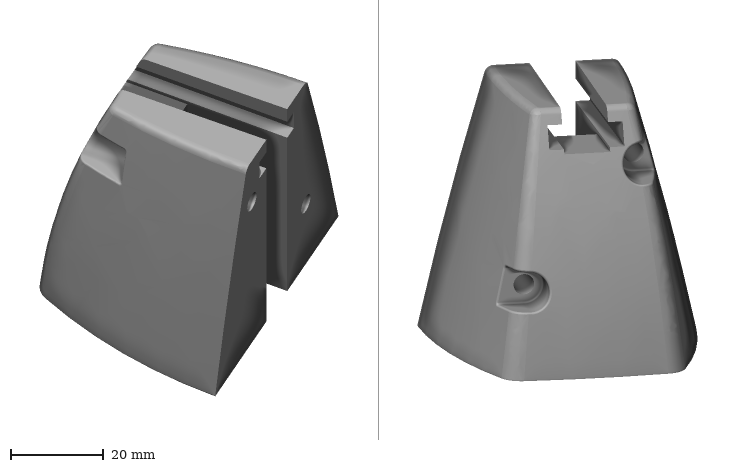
import cadquery as cq
import math

height = 57.4
base_depth = 49.4
base_half_width = 29.65
base_lip = 0.25

front_arc_radius = 166.1
front_arc_centre_z = -11.85
side_arc_radius = 784.8
side_arc_centre_z = -172.0

side_plan_radius_base = 114.5
side_plan_radius_top = 164.9
front_plan_radius = 201.7
corner_radius_base = 5.15
corner_radius_top = 2.15
loft_steps = 4

top_drop = 1.2
top_drop_length = 58.0
top_fillet = 2.0

slot_width = 10.1
slot_floor_z = 47.45
wing_width = 16.5
wing_bottom_z = 48.4
wing_top_z = 53.45
opening_depth = 24.1

pocket_radius = 4.2
pocket_round = 0.5
screw_hole_diameter = 4.5
pockets = [(-12.0, 44.5, -29.25), (14.0, 19.0, -39.15)]

clearance = 5.95


def lean(z, radius, centre_z):
    """Inward travel of an upright arc between the top of the lip and height z."""
    reach_at_lip = math.sqrt(radius**2 - (base_lip - centre_z) ** 2)
    return reach_at_lip - math.sqrt(radius**2 - (z - centre_z) ** 2)


def blend(base_value, top_value, z):
    """Value at height z, changing evenly from the base to the full height."""
    return base_value + (top_value - base_value) * z / height


def outline(z):
    """Horizontal section at height z: two side arcs, a front arc and a straight back."""
    depth = base_depth - lean(z, front_arc_radius, front_arc_centre_z)
    half_width = base_half_width - lean(z, side_arc_radius, side_arc_centre_z)
    side_radius = blend(side_plan_radius_base, side_plan_radius_top, z)
    side_offset = side_radius - half_width
    return (
        cq.Sketch()
        .push([(-base_depth, 0)])
        .rect(2 * base_depth, 4 * base_half_width)
        .reset()
        .push([(0, -side_offset)])
        .circle(side_radius, mode="i")
        .reset()
        .push([(0, side_offset)])
        .circle(side_radius, mode="i")
        .reset()
        .push([(front_plan_radius - depth, 0)])
        .circle(front_plan_radius, mode="i")
        .reset()
        .vertices("<X")
        .fillet(blend(corner_radius_base, corner_radius_top, z))
    )


def make_body():
    """Lofted flanks on a thin upright lip, closed by the sloping top face."""
    heights = [base_lip + (height - base_lip) * step / loft_steps for step in range(loft_steps + 1)]
    sections = [outline(z).moved(cq.Location(cq.Vector(0, 0, z))) for z in heights]
    flanks = cq.Workplane().placeSketch(*sections).loft()
    lip = cq.Workplane().placeSketch(outline(base_lip)).extrude(base_lip)
    front_drop = top_drop * base_depth / top_drop_length
    above = height + clearance
    top_profile = [(0, height), (0, above), (-base_depth, above), (-base_depth, height - front_drop)]
    above_top = (
        cq.Workplane("XZ")
        .polyline(top_profile)
        .close()
        .extrude(base_half_width, both=True)
    )
    body = flanks.union(lip).cut(above_top)
    return body.faces(">Z").edges("not >X").fillet(top_fillet)


def box_between(x_range, width, z_range):
    """Box centred on Y = 0 between two X and two Z values."""
    length = x_range[1] - x_range[0]
    rise = z_range[1] - z_range[0]
    return (
        cq.Workplane()
        .box(length, width, rise, centered=(False, True, False))
        .translate((x_range[0], 0, z_range[0]))
    )


def make_slot():
    """T-slot along the whole length, plus the upright opening behind its floor."""
    full_length = (-base_depth - clearance, clearance)
    above = height + clearance
    channel = box_between(full_length, slot_width, (slot_floor_z, above))
    wings = box_between(full_length, wing_width, (wing_bottom_z, wing_top_z))
    opening = box_between((-opening_depth, clearance), slot_width, (-clearance, above))
    return channel.union(wings).union(opening)


def make_pocket(y, z, floor_x):
    """Half-round pocket, open to the front and to the nearer side, with a rounded floor edge."""
    outward = math.copysign(1, y)
    reach = base_half_width
    depth = base_depth + clearance + floor_x
    return (
        cq.Workplane("YZ", origin=(floor_x, y, z))
        .moveTo(outward * reach, pocket_radius)
        .lineTo(0, pocket_radius)
        .threePointArc((-outward * pocket_radius, 0), (0, -pocket_radius))
        .lineTo(outward * reach, -pocket_radius)
        .close()
        .extrude(-depth)
        .faces(">X")
        .edges("%CIRCLE or |Y")
        .fillet(pocket_round)
    )


def make_screw_hole(y, z):
    """Plain hole through the whole length along X."""
    return (
        cq.Workplane("YZ", origin=(clearance, y, z))
        .circle(screw_hole_diameter / 2)
        .extrude(-base_depth - 2 * clearance)
    )


def mouth_edges(y, z, floor_x):
    """Selector for the curved edges where a pocket meets the outer surfaces."""
    inner = pocket_radius + pocket_round
    outward = math.copysign(1, y)
    around_pocket = cq.selectors.BoxSelector(
        (-base_depth - clearance, y - outward * inner, z - inner),
        (floor_x + pocket_round / 2, outward * base_half_width, z + inner),
        boundingbox=True,
    )
    return around_pocket - cq.selectors.TypeSelector("CIRCLE") - cq.selectors.TypeSelector("LINE")


result = make_body().cut(make_slot())
for y, z, floor_x in pockets:
    result = result.cut(make_pocket(y, z, floor_x)).cut(make_screw_hole(y, z))
    result = result.edges(mouth_edges(y, z, floor_x)).fillet(pocket_round)